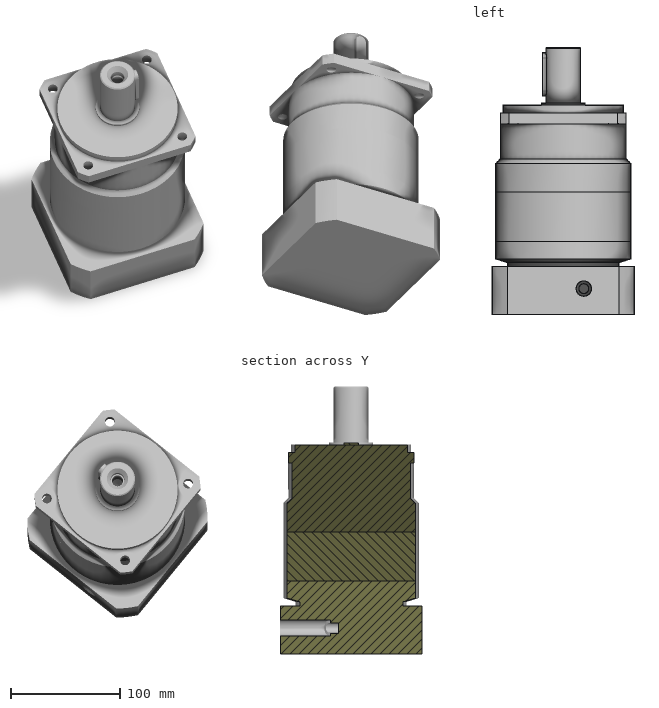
import cadquery as cq


PLATE_SIDE = 130.0
PLATE_CORNER_DIAMETER = 165.0
PLATE_HEIGHT = 44.0
NECK_DIAMETER = 102.0
NECK_HEIGHT = 3.5
BODY_DIAMETER = 124.0
REAR_CONE_HEIGHT = 3.5
REAR_RIM_HEIGHT = 16.0

ACCESS_Y = -18.8
ACCESS_Z = 23.7
ACCESS_DIAMETER = 14.0
HUB_DIAMETER = 54.0
SCREW_SEAT_DIAMETER = 9.0
SCREW_SEAT_X = 12.0

RING_HEIGHT = 45.0

FRONT_BODY_HEIGHT = 26.0
SHOULDER_HEIGHT = 4.5
DRUM_DIAMETER = 115.0
DRUM_HEIGHT = 32.0
FLANGE_SIDE = 115.0
FLANGE_CORNER_DIAMETER = 152.0
FLANGE_HEIGHT = 10.0
PILOT_DIAMETER = 110.0
PILOT_HEIGHT = 7.0
BOLT_CIRCLE_DIAMETER = 130.0
BOLT_HOLE_DIAMETER = 9.0

SHAFT_DIAMETER = 32.0
SHAFT_CHAMFER = 1.0
COLLAR_DIAMETER = 40.0
COLLAR_HEIGHT = 2.0
TOTAL_HEIGHT = 244.5

COUNTERSINK_DIAMETER = 19.5
COUNTERSINK_DEPTH = 4.5
CENTRE_BORE_DIAMETER = 12.5
CENTRE_BORE_DEPTH = 10.0
TAP_DRILL_DIAMETER = 10.2
TAP_DRILL_DEPTH = 28.0
TAP_DRILL_TIP = 3.0

KEY_WIDTH = 10.0
KEY_HEIGHT = 8.0
KEY_LENGTH = 40.0
KEY_SEAT_DEPTH = 5.0
KEY_END_GAP = 4.75

REAR_CONE_Z = PLATE_HEIGHT + NECK_HEIGHT
REAR_RIM_Z = REAR_CONE_Z + REAR_CONE_HEIGHT
RING_Z = REAR_RIM_Z + REAR_RIM_HEIGHT
FRONT_Z = RING_Z + RING_HEIGHT
SHOULDER_Z = FRONT_Z + FRONT_BODY_HEIGHT
DRUM_Z = SHOULDER_Z + SHOULDER_HEIGHT
FLANGE_Z = DRUM_Z + DRUM_HEIGHT
PILOT_Z = FLANGE_Z + FLANGE_HEIGHT
SHAFT_Z = PILOT_Z + PILOT_HEIGHT


def disc(diameter, height, z):
    """Upright cylinder on the gearbox axis, starting at height z."""
    return cq.Workplane("XY").workplane(offset=z).circle(diameter / 2).extrude(height)


def cone(start_diameter, end_diameter, height, z):
    """Upright truncated cone on the gearbox axis, starting at height z."""
    return cq.Workplane(cq.Solid.makeCone(start_diameter / 2, end_diameter / 2, height, cq.Vector(0, 0, z)))


def square_plate(side, corner_diameter, height, z):
    """Square plate whose corners are turned down to a circle about the axis."""
    square = cq.Workplane("XY").workplane(offset=z).rect(side, side).extrude(height)
    return square.intersect(disc(corner_diameter, height, z))


def access_hole():
    """Blind hole along +X whose floor is the round clamp hub, with a flat screw seat sunk into it."""
    side = cq.Workplane("YZ", origin=(-PLATE_SIDE / 2, ACCESS_Y, ACCESS_Z))
    passage = side.circle(ACCESS_DIAMETER / 2).extrude(PLATE_SIDE / 2)
    screw_seat = side.circle(SCREW_SEAT_DIAMETER / 2).extrude(PLATE_SIDE / 2 - SCREW_SEAT_X)
    return passage.cut(disc(HUB_DIAMETER, PLATE_HEIGHT, 0)).union(screw_seat)


def make_input_housing():
    plate = square_plate(PLATE_SIDE, PLATE_CORNER_DIAMETER, PLATE_HEIGHT, 0).cut(access_hole())
    neck = disc(NECK_DIAMETER, NECK_HEIGHT, PLATE_HEIGHT)
    rear_cone = cone(NECK_DIAMETER, BODY_DIAMETER, REAR_CONE_HEIGHT, REAR_CONE_Z)
    rim = disc(BODY_DIAMETER, REAR_RIM_HEIGHT, REAR_RIM_Z)
    return plate.union(neck).union(rear_cone).union(rim)


def make_ring_gear():
    return disc(BODY_DIAMETER, RING_HEIGHT, RING_Z)


def bolt_holes():
    """Four through holes on the diagonals of the flange."""
    return (
        cq.Workplane("XY")
        .workplane(offset=FLANGE_Z)
        .polarArray(BOLT_CIRCLE_DIAMETER / 2, 45, 360, 4)
        .circle(BOLT_HOLE_DIAMETER / 2)
        .extrude(FLANGE_HEIGHT)
    )


def make_output_housing():
    body = disc(BODY_DIAMETER, FRONT_BODY_HEIGHT, FRONT_Z)
    shoulder = cone(BODY_DIAMETER, DRUM_DIAMETER, SHOULDER_HEIGHT, SHOULDER_Z)
    drum = disc(DRUM_DIAMETER, DRUM_HEIGHT, DRUM_Z)
    flange = square_plate(FLANGE_SIDE, FLANGE_CORNER_DIAMETER, FLANGE_HEIGHT, FLANGE_Z).cut(bolt_holes())
    pilot = disc(PILOT_DIAMETER, PILOT_HEIGHT, PILOT_Z)
    return body.union(shoulder).union(drum).union(flange).union(pilot)


def make_key():
    """Round-ended key standing along Z, seated in the +Y side of the shaft."""
    seat_y = SHAFT_DIAMETER / 2 - KEY_SEAT_DEPTH
    middle_z = TOTAL_HEIGHT - KEY_END_GAP - KEY_LENGTH / 2
    return (
        cq.Workplane("XZ", origin=(0, seat_y, middle_z))
        .slot2D(KEY_LENGTH, KEY_WIDTH, 90)
        .extrude(-KEY_HEIGHT)
    )


def centre_hole():
    """Countersunk, stepped and conically ended hole running down from the shaft end."""
    profile = [
        (0, 0),
        (COUNTERSINK_DIAMETER / 2, 0),
        (CENTRE_BORE_DIAMETER / 2, -COUNTERSINK_DEPTH),
        (CENTRE_BORE_DIAMETER / 2, -CENTRE_BORE_DEPTH),
        (TAP_DRILL_DIAMETER / 2, -CENTRE_BORE_DEPTH),
        (TAP_DRILL_DIAMETER / 2, -TAP_DRILL_DEPTH),
        (0, -TAP_DRILL_DEPTH - TAP_DRILL_TIP),
    ]
    hole = cq.Workplane("XZ").polyline(profile).close().revolve(360, (0, 0, 0), (0, 1, 0))
    return hole.translate((0, 0, TOTAL_HEIGHT))


def make_shaft(key):
    """Shaft standing on the pilot face, with a collar, a centre hole and a seat for the key."""
    rod = disc(SHAFT_DIAMETER, TOTAL_HEIGHT - SHAFT_Z, SHAFT_Z).faces(">Z").chamfer(SHAFT_CHAMFER)
    collar = disc(COLLAR_DIAMETER, COLLAR_HEIGHT, SHAFT_Z)
    return rod.union(collar).cut(centre_hole()).cut(key)


input_housing = make_input_housing()
ring_gear = make_ring_gear()
output_housing = make_output_housing()
key = make_key()
shaft = make_shaft(key)

result = cq.Compound.makeCompound(
    [input_housing.val(), ring_gear.val(), output_housing.val(), shaft.val(), key.val()]
)